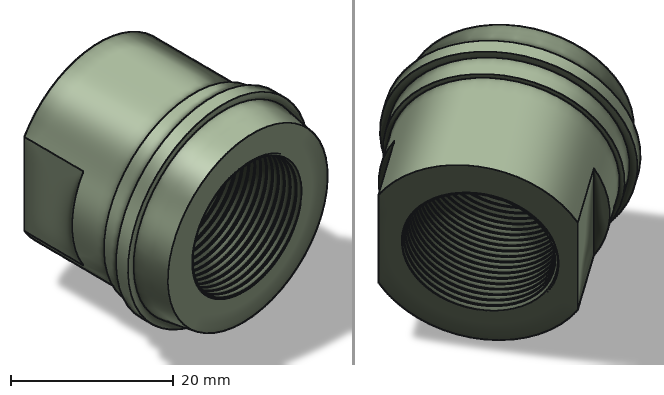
import cadquery as cq
import math

total_length = 26.0
shank_end = 16.0
flange_start = 19.0
flange_end = 21.0

shank_diameter = 29.0
shoulder_diameter = 30.3
flange_diameter = 32.3
nose_base_diameter = 30.3
nose_tip_diameter = 28.6

flat_length = 10.0
width_across_flats = 25.0

thread_diameter = 20.2
thread_pitch = 1.0
thread_depth = 5 / 8 * math.sqrt(3) / 2 * thread_pitch
thread_root_width = thread_pitch / 8
thread_half_angle = math.radians(30)
thread_start_angle = 130.0
cutter_overlap = 0.1

bore_diameter = thread_diameter - 2 * thread_depth


def make_body():
    """Solid stepped body with a tapered nose, revolved about X."""
    profile = [
        (0, 0),
        (0, shank_diameter / 2),
        (shank_end, shank_diameter / 2),
        (shank_end, shoulder_diameter / 2),
        (flange_start, shoulder_diameter / 2),
        (flange_start, flange_diameter / 2),
        (flange_end, flange_diameter / 2),
        (flange_end, nose_base_diameter / 2),
        (total_length, nose_tip_diameter / 2),
        (total_length, 0),
    ]
    return cq.Workplane("XZ").polyline(profile).close().revolve(360, (0, 0, 0), (1, 0, 0))


def make_flat_cutter(side):
    """Block that removes the shank beyond one wrench flat, on the +Y or -Y side."""
    cutter_depth = (flange_diameter - width_across_flats) / 2
    center_y = side * (width_across_flats + cutter_depth) / 2
    return (
        cq.Workplane("XY")
        .box(flat_length, cutter_depth, flange_diameter, centered=(False, True, True))
        .translate((0, center_y, 0))
    )


def make_thread_cutter():
    """V groove swept along a helix that runs one pitch past both ends of the part."""
    root_radius = thread_diameter / 2
    inner_radius = bore_diameter / 2 - cutter_overlap
    root_half_width = thread_root_width / 2
    inner_half_width = root_half_width + (root_radius - inner_radius) * math.tan(thread_half_angle)
    helix = cq.Wire.makeHelix(thread_pitch, total_length + 2 * thread_pitch, bore_diameter / 2)
    groove = (
        cq.Workplane("XZ")
        .polyline(
            [
                (inner_radius, -inner_half_width),
                (root_radius, -root_half_width),
                (root_radius, root_half_width),
                (inner_radius, inner_half_width),
            ]
        )
        .close()
        .sweep(cq.Workplane(obj=helix), isFrenet=True)
    )
    along_x = groove.rotate((0, 0, 0), (1, 1, 1), 120)
    return along_x.rotate((0, 0, 0), (1, 0, 0), thread_start_angle).translate((-thread_pitch, 0, 0))


def make_bore_cutter():
    """Cylinder through the whole part at the minor diameter of the thread."""
    return cq.Workplane("YZ").circle(bore_diameter / 2).extrude(total_length)


body = make_body()
for flat_side in (-1, 1):
    body = body.cut(make_flat_cutter(flat_side))

result = body.cut(make_thread_cutter()).cut(make_bore_cutter())